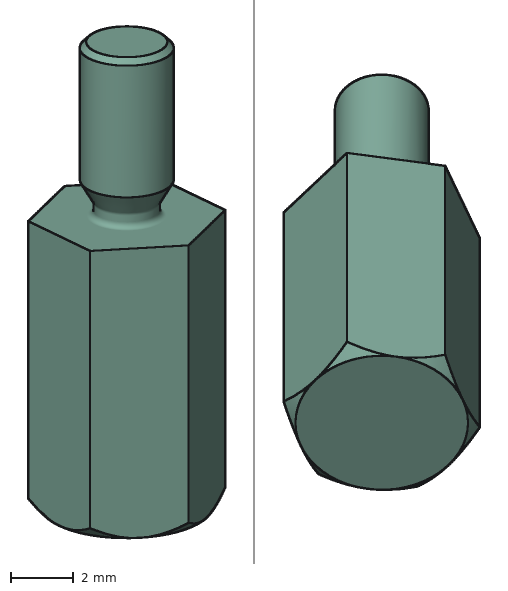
import cadquery as cq
import math

total_height = 16.0
body_height = 10.0
across_flats = 5.5
across_corners = across_flats / math.cos(math.radians(30))

stud_radius = 3.0 / 2
tip_chamfer = 0.2
neck_radius = 2.13 / 2
foot_radius = 2.53 / 2
undercut_length = 1.25
cone_half_angle = math.radians(30)


def make_body():
    """Hexagonal prism with its bottom corners turned off at 45 degrees."""
    prism = cq.Workplane("XY").polygon(6, across_corners).extrude(body_height)
    base_radius = across_flats / 2
    flare_radius = base_radius + body_height
    turning_cone = (
        cq.Workplane("XZ")
        .polyline([(0, 0), (base_radius, 0), (flare_radius, body_height), (0, body_height)])
        .close()
        .revolve(360, (0, 0, 0), (0, 1, 0))
    )
    return prism.intersect(turning_cone)


def make_stud():
    """Round stud with a chamfered tip and a filleted undercut at its root."""
    fillet_radius = foot_radius - neck_radius
    diagonal = math.sqrt(0.5)
    fillet_center_radius = neck_radius + fillet_radius

    undercut_top = body_height + undercut_length
    cone_start = undercut_top - (stud_radius - neck_radius) / math.tan(cone_half_angle)
    blend_start = cone_start - fillet_radius * math.tan(cone_half_angle / 2)

    def blend_point(angle):
        return (
            fillet_center_radius - fillet_radius * math.cos(angle),
            blend_start + fillet_radius * math.sin(angle),
        )

    foot_middle = (
        fillet_center_radius - fillet_radius * diagonal,
        body_height + fillet_radius * (1 - diagonal),
    )
    profile = (
        cq.Workplane("XZ")
        .moveTo(0, body_height)
        .lineTo(foot_radius, body_height)
        .threePointArc(foot_middle, (neck_radius, body_height + fillet_radius))
        .lineTo(neck_radius, blend_start)
        .threePointArc(blend_point(cone_half_angle / 2), blend_point(cone_half_angle))
        .lineTo(stud_radius, undercut_top)
        .lineTo(stud_radius, total_height - tip_chamfer)
        .lineTo(stud_radius - tip_chamfer, total_height)
        .lineTo(0, total_height)
        .close()
    )
    return profile.revolve(360, (0, 0, 0), (0, 1, 0))


result = make_body().union(make_stud())